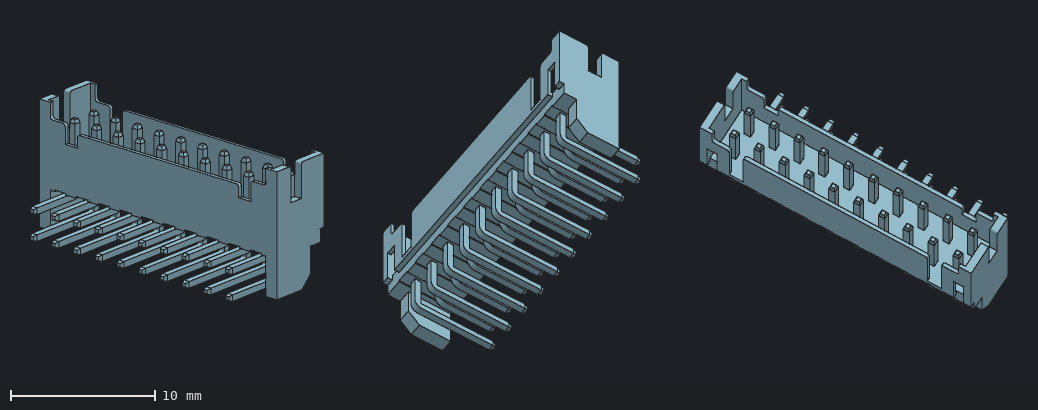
import cadquery as cq


length = 21.9
depth = 5.0
height = 9.48

underside_z = 2.98
rear_step_z = 3.99
rear_step_y = 4.6
leg_width = 1.03
leg_depth = 3.55
leg_chamfer = 0.92

end_wall = 0.61
front_wall = 0.3
rear_wall = 0.28
floor_z = 4.45

shoulder_z = 8.21
notch_start_x = 2.4
notch_end_x = 3.53
front_notch_z = 6.7
rear_notch_z = floor_z
front_top_z = 7.69
rear_top_z = shoulder_z
wall_round = 0.25

slot_start_y = 1.5
slot_end_y = 2.56
slot_z = 6.79
slot_round = 0.2

window_width = 0.8
window_top_z = 6.64

pins_per_row = 10
row_span = 18.0
pitch = row_span / (pins_per_row - 1)
row_spacing = pitch
pin_size = 0.5
pin_tip_length = 0.28
pin_tip_taper = 0.099
pin_top_z = 8.08
tail_length = 3.0
front_row_y = 1.53
front_row_bend = 0.2
rear_row_tail_z = 0.48
rear_row_bend = 0.09
relief_width = 1.0
relief_height = 0.1

first_pin_x = (length - row_span) / 2
pin_xs = [first_pin_x + i * pitch for i in range(pins_per_row)]
rows = [
    (front_row_y, rear_row_tail_z + row_spacing, front_row_bend),
    (front_row_y + row_spacing, rear_row_tail_z, rear_row_bend),
]


def box(x0, x1, y0, y1, z0, z1):
    """Axis-aligned block between two opposite corners."""
    return cq.Workplane("XY").box(x1 - x0, y1 - y0, z1 - z0, centered=False).translate((x0, y0, z0))


def body_profile():
    """Side outline of the housing, extruded over its full length."""
    points = [
        (0, 0),
        (leg_depth - leg_chamfer, 0),
        (leg_depth, leg_chamfer),
        (leg_depth, underside_z),
        (rear_step_y, underside_z),
        (rear_step_y, rear_step_z),
        (depth, rear_step_z),
        (depth, height),
        (0, height),
    ]
    return cq.Workplane("YZ").polyline(points).close().extrude(length)


def wall_opening(notch_z, middle_top_z, y0, y1):
    """Cutter that leaves shoulders, notches and a middle stretch on one long wall."""
    left = [
        (leg_width, height),
        (leg_width, shoulder_z),
        (notch_start_x, shoulder_z),
        (notch_start_x, notch_z),
        (notch_end_x, notch_z),
        (notch_end_x, middle_top_z),
    ]
    right = [(length - x, z) for x, z in reversed(left)]
    cutter = cq.Workplane("XZ").polyline(left + right).close().extrude(-(y1 - y0)).translate((0, y0, 0))
    for x, z in (left[1], left[2], left[5]):
        for corner_x in (x, length - x):
            corner = cq.selectors.NearestToPointSelector((corner_x, (y0 + y1) / 2, z))
            cutter = cutter.edges(corner).fillet(wall_round)
    return cutter


def keying_slot():
    """Cutter for the slots in both end walls, flared by rounds at the top."""
    r = slot_round
    return (
        cq.Workplane("YZ")
        .moveTo(slot_start_y, slot_z)
        .lineTo(slot_end_y, slot_z)
        .lineTo(slot_end_y, height - r)
        .radiusArc((slot_end_y + r, height), r)
        .lineTo(slot_start_y - r, height)
        .radiusArc((slot_start_y, height - r), r)
        .close()
        .extrude(length)
    )


def housing():
    """Shroud with its cavity, wall openings, legs and pin reliefs."""
    body = body_profile()
    body = body.cut(box(leg_width, length - leg_width, 0, depth, 0, underside_z))
    body = body.cut(box(end_wall, length - end_wall, front_wall, depth - rear_wall, floor_z, height))
    body = body.cut(wall_opening(front_notch_z, front_top_z, 0, front_wall))
    body = body.cut(wall_opening(rear_notch_z, rear_top_z, depth - rear_wall, depth))
    body = body.cut(keying_slot())
    for x0 in (end_wall, length - end_wall - window_width):
        body = body.cut(box(x0, x0 + window_width, rear_step_y, depth, rear_step_z, window_top_z))
    for x in pin_xs:
        relief_x = x - relief_width / 2
        relief_top = underside_z + relief_height
        body = body.cut(box(relief_x, relief_x + relief_width, 0, rear_step_y, underside_z, relief_top))
    return body


def tapered_tip():
    """Pin tip along +Z that starts at the full pin section."""
    tip_size = pin_size - 2 * pin_tip_taper
    return (
        cq.Workplane("XY")
        .rect(pin_size, pin_size)
        .workplane(offset=pin_tip_length)
        .rect(tip_size, tip_size)
        .loft(ruled=True)
    )


def pin(row_y, tail_z, inner):
    """Pin bent at a right angle with the given inside radius, centred on X = 0."""
    half = pin_size / 2
    tail_y = pin_tip_length - tail_length
    shank_top_z = pin_top_z - pin_tip_length
    outer = inner + pin_size
    back, front = row_y + half, row_y - half
    low, high = tail_z - half, tail_z + half
    shank = (
        cq.Workplane("YZ")
        .moveTo(tail_y, low)
        .lineTo(back - outer, low)
        .radiusArc((back, low + outer), -outer)
        .lineTo(back, shank_top_z)
        .lineTo(front, shank_top_z)
        .lineTo(front, high + inner)
        .radiusArc((front - inner, high), inner)
        .lineTo(tail_y, high)
        .close()
        .extrude(half, both=True)
    )
    mating_tip = tapered_tip().translate((0, row_y, shank_top_z))
    tail_tip = tapered_tip().rotate((0, 0, 0), (1, 0, 0), 90).translate((0, tail_y, tail_z))
    return shank.union(mating_tip).union(tail_tip)


result = housing()
for row_y, tail_z, bend in rows:
    row_pin = pin(row_y, tail_z, bend)
    for pin_x in pin_xs:
        result = result.union(row_pin.translate((pin_x, 0, 0)))